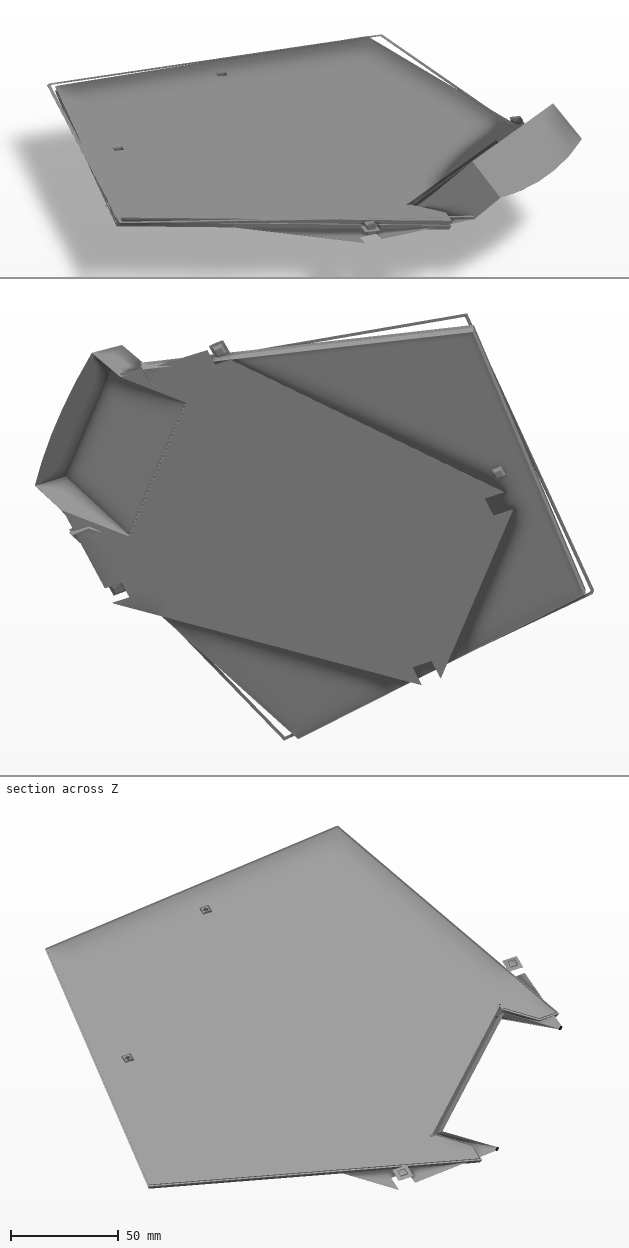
import cadquery as cq
import math

SHEET = 0.13

FRAME_TIP_HALF = 1.0
FRAME_CORNER_X = 107.3
FRAME_WIDTH = 252.0
FRAME_END_X = 247.5
FRAME_END_HALF = 40.7
FRAME_BAND = 1.5

PAN_HEIGHT = 2.5
PAN_DRAFT_INSET = 0.8
PAN_TIP_X = 3.7
PAN_CORNER_X = 102.3
PAN_HALF_WIDTH = 121.0
PAN_END_X = 240.8
PAN_END_HALF = 49.2
NOTCH_X = 213.3
NOTCH_HALF = 41.8
NOTCH_MOUTH_X = 233.7
NOTCH_RELIEF = 1.5

CUP_TOP = 5.0
CUP_FLANGE = 7.5
CUP_HOLE_DIAMETER = 2.45
LEFT_CUP_X = 64.5
LEFT_CUP_Y = 49.7
RIGHT_CUP_X = 209.3
RIGHT_CUP_Y = 70.0
LEFT_CUPS = [(LEFT_CUP_X, LEFT_CUP_Y), (LEFT_CUP_X, -LEFT_CUP_Y)]
RIGHT_CUPS = [(RIGHT_CUP_X, RIGHT_CUP_Y), (RIGHT_CUP_X, -RIGHT_CUP_Y)]

CHUTE_LOW_X = 57.4
CHUTE_LOW_Z = -31.0
CHUTE_SLOPE = 0.155
CHUTE_LOW_HALF = 56.0
CHUTE_END_X = 246.3
CHUTE_END_HALF = 40.2
CHUTE_BACK_CORNER = (214.5, 70.8)
CHUTE_FRONT_CORNER = (209.3, -76.5)
LEFT_SLOT_WIDTH = 9.8
RIGHT_SLOT_WIDTH = 8.2
SLOT_LENGTH = 26.5

HOOD_TOP_X = 246.0
HOOD_TOP_Z = 27.2
HOOD_TOP_WIDTH = 77.5
HOOD_TOP_HALF = HOOD_TOP_WIDTH / 2
HOOD_BASE_HALF = 39.6
HOOD_SIDE_END_X = 261.1
HOOD_LIP_X = 264.3
HOOD_BACK_BOTTOM_Z = -4.5
BACK_GAP_LENGTH = 8.0
OPENING_X = 214.5
OPENING_HALF = 39.5

REACH = 528.6


def chute_z(x):
    """Height of the chute sheet's underside at x."""
    return CHUTE_LOW_Z + CHUTE_SLOPE * (x - CHUTE_LOW_X)


def mirrored(points):
    """Close a half outline, given from left to right at +Y, with its mirror image."""
    return points + [(x, -y) for x, y in reversed(points) if y != 0]


def square_loft(side_top, z_top, side_bottom, z_bottom):
    """Tapered square block, turned 45 degrees, centred on the Z axis."""
    return (
        cq.Workplane("XY", origin=(0, 0, z_top))
        .rect(side_top, side_top)
        .workplane(offset=z_bottom - z_top)
        .rect(side_bottom, side_bottom)
        .loft(ruled=True)
        .rotate((0, 0, 0), (0, 0, 1), 45)
    )


def make_frame():
    outline = mirrored([
        (0, FRAME_TIP_HALF),
        (FRAME_CORNER_X, FRAME_WIDTH / 2),
        (FRAME_END_X, FRAME_END_HALF),
    ])
    plate = cq.Workplane("XY").polyline(outline).close().extrude(SHEET)
    window = cq.Workplane("XY").polyline(outline).close().offset2D(-FRAME_BAND).extrude(SHEET)
    hood_gap = cq.Workplane("XY").center(FRAME_END_X, 0).rect(4 * FRAME_BAND, 2 * HOOD_BASE_HALF)
    return plate.cut(window).cut(hood_gap.extrude(SHEET))


def pan_shell():
    """Tray with its top at Z = 0 and its open side down."""
    outline = mirrored([
        (PAN_TIP_X, 0),
        (PAN_CORNER_X, PAN_HALF_WIDTH),
        (PAN_END_X, PAN_END_HALF),
        (NOTCH_MOUTH_X, NOTCH_HALF),
        (NOTCH_X + NOTCH_RELIEF, NOTCH_HALF),
        (NOTCH_X, NOTCH_HALF + NOTCH_RELIEF),
    ])
    draft = math.degrees(math.atan(PAN_DRAFT_INSET / PAN_HEIGHT))
    block = cq.Workplane("XY").polyline(outline).close().extrude(-PAN_HEIGHT, taper=draft)
    hollow = (
        cq.Workplane("XY").polyline(outline).close().offset2D(-SHEET)
        .extrude(-PAN_HEIGHT, taper=draft)
        .translate((0, 0, -SHEET))
    )
    return block.cut(hollow)


def cup_block():
    """Outside of a cup, one pan deep, with its mouth at Z = 0."""
    return square_loft(CUP_TOP, 0, CUP_TOP - 2 * PAN_DRAFT_INSET, -PAN_HEIGHT)


def cup_pocket(with_hole):
    """Inside of a cup, with an optional round hole through its floor."""
    mouth = CUP_TOP - 2 * SHEET
    pocket = square_loft(mouth, 0, mouth - 2 * PAN_DRAFT_INSET, SHEET - PAN_HEIGHT)
    if with_hole:
        pocket = pocket.union(cq.Workplane("XY").circle(CUP_HOLE_DIAMETER / 2).extrude(-PAN_HEIGHT))
    return pocket


def make_upper_pan():
    pan = pan_shell()
    for x, y in LEFT_CUPS:
        pan = pan.union(cup_block().translate((x, y, 0)))
        pan = pan.cut(cup_pocket(with_hole=True).translate((x, y, 0)))
    return pan


def make_lower_pan():
    """Pan with sunk cups at the left; at the right, cups on square ears over solid feet."""
    pan = pan_shell().translate((0, 0, -PAN_HEIGHT))
    ear = square_loft(CUP_FLANGE, -PAN_HEIGHT, CUP_FLANGE, -PAN_HEIGHT - SHEET)
    foot = cup_block().translate((0, 0, -PAN_HEIGHT))
    standing_cup = cup_block().cut(cup_pocket(with_hole=True)).union(ear).union(foot)
    for x, y in RIGHT_CUPS:
        pan = pan.union(standing_cup.translate((x, y, 0)))
    for x, y in LEFT_CUPS:
        pan = pan.union(cup_block().translate((x, y, -PAN_HEIGHT)))
        pan = pan.cut(cup_pocket(with_hole=False).translate((x, y, -PAN_HEIGHT)))
    return pan


def corner_slot(width, outward_x, outward_y):
    """Slot around the Z axis, running out diagonally toward the corner in the given quadrant."""
    length = SLOT_LENGTH + width / 2
    direction = math.degrees(math.atan2(math.copysign(1, outward_y), outward_x))
    return (
        cq.Workplane("XY")
        .center((length - width) / 2, 0)
        .rect(length, width)
        .extrude(REACH, both=True)
        .rotate((0, 0, 0), (0, 0, 1), direction)
    )


def make_chute_sheet():
    """Sloping sheet with a slot at each corner, open at the upper end under the hood."""
    outline = [
        (CHUTE_LOW_X, CHUTE_LOW_HALF),
        CHUTE_BACK_CORNER,
        (CHUTE_END_X, CHUTE_END_HALF),
        (CHUTE_END_X, OPENING_HALF),
        (OPENING_X, OPENING_HALF),
        (OPENING_X, -OPENING_HALF),
        (CHUTE_END_X, -OPENING_HALF),
        (CHUTE_END_X, -CHUTE_END_HALF),
        CHUTE_FRONT_CORNER,
        (CHUTE_LOW_X, -CHUTE_LOW_HALF),
    ]
    plan = (
        cq.Workplane("XY", origin=(0, 0, -REACH / 2))
        .polyline(outline).close().extrude(REACH)
    )
    slope = (
        cq.Workplane("XZ", origin=(0, REACH / 2, 0))
        .polyline([
            (0, chute_z(0)),
            (REACH, chute_z(REACH)),
            (REACH, chute_z(REACH) + SHEET),
            (0, chute_z(0) + SHEET),
        ])
        .close().extrude(REACH)
    )
    sheet = slope.intersect(plan)

    for x, y in LEFT_CUPS:
        sheet = sheet.cut(corner_slot(LEFT_SLOT_WIDTH, -1, y).translate((x, y, 0)))
    for x, y in RIGHT_CUPS:
        sheet = sheet.cut(corner_slot(RIGHT_SLOT_WIDTH, 1, y).translate((x, y, 0)))
    return sheet


def hood_half_width(z):
    """Half width of the hood, whose sides lean inward toward the top."""
    return HOOD_BASE_HALF - (HOOD_BASE_HALF - HOOD_TOP_HALF) * z / HOOD_TOP_Z


def hood_block(inset):
    """Solid hood shape with back, end and sides moved in, and the open faces moved out, by `inset`."""
    top_z = HOOD_TOP_Z - inset * math.sqrt(2)
    mouth_x = HOOD_SIDE_END_X + inset
    mouth_z = top_z - (mouth_x - HOOD_TOP_X)
    floor_z = chute_z(0) - inset
    back_foot_x = (floor_z + HOOD_TOP_X - top_z) / (1 - CHUTE_SLOPE)
    mouth_foot_x = (floor_z + mouth_x - mouth_z) / (1 - CHUTE_SLOPE)
    profile = (
        cq.Workplane("XZ", origin=(0, REACH / 2, 0))
        .polyline([
            (back_foot_x, chute_z(back_foot_x) - inset),
            (HOOD_TOP_X, top_z),
            (mouth_x, mouth_z),
            (mouth_foot_x, chute_z(mouth_foot_x) - inset),
        ])
        .close().extrude(REACH)
    )
    low_half = hood_half_width(-HOOD_TOP_Z) - inset
    top_half = hood_half_width(HOOD_TOP_Z) - inset
    across = (
        cq.Workplane("YZ")
        .polyline([
            (-low_half, -HOOD_TOP_Z),
            (low_half, -HOOD_TOP_Z),
            (top_half, HOOD_TOP_Z),
            (-top_half, HOOD_TOP_Z),
        ])
        .close().extrude(REACH)
    )
    return profile.intersect(across)


def make_end_plate():
    """End face of the hood, with a curved lip reaching past the side walls."""
    side_length = (HOOD_SIDE_END_X - HOOD_TOP_X) * math.sqrt(2)
    lip_length = (HOOD_LIP_X - HOOD_TOP_X) * math.sqrt(2)
    side_half = hood_half_width(HOOD_TOP_Z - (HOOD_SIDE_END_X - HOOD_TOP_X))
    end_plane = cq.Plane(origin=(HOOD_TOP_X, 0, HOOD_TOP_Z), xDir=(1, 0, -1), normal=(1, 0, 1))
    return (
        cq.Workplane(end_plane)
        .moveTo(0, -HOOD_TOP_HALF)
        .lineTo(side_length, -side_half)
        .threePointArc((lip_length, 0), (side_length, side_half))
        .lineTo(0, HOOD_TOP_HALF)
        .close().extrude(-SHEET)
    )


def make_hood():
    shell = hood_block(0).cut(hood_block(SHEET)).union(make_end_plate())
    back_gap = (
        cq.Workplane("XY", origin=(OPENING_X, 0, HOOD_BACK_BOTTOM_Z))
        .rect(BACK_GAP_LENGTH, 2 * OPENING_HALF)
        .extrude(-BACK_GAP_LENGTH)
    )
    return shell.cut(back_gap)


frame = make_frame()
chute = make_chute_sheet().union(make_hood())
upper_pan = make_upper_pan()
lower_pan = make_lower_pan().cut(chute)

result = cq.Compound.makeCompound([
    frame.solids().val(),
    upper_pan.solids().val(),
    lower_pan.solids().val(),
    chute.solids().val(),
])